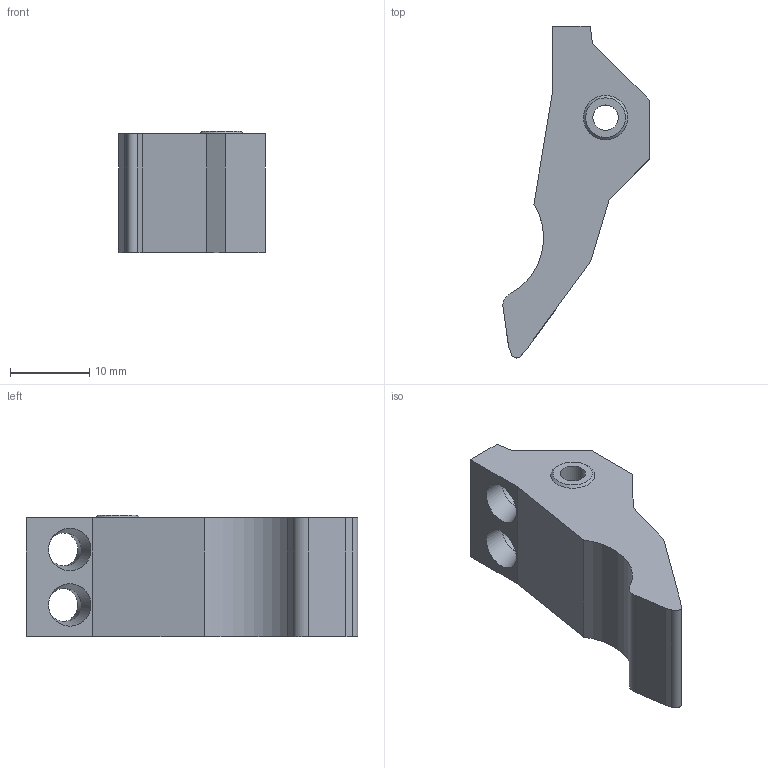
import cadquery as cq
import math


body_height = 15.0
back_x = 5.5
mount_x = -6.7
top_y = 11.56

pivot_diameter = 3.2
boss_diameter = 5.6
boss_height = 0.3

screw_heights = (4.0, 11.0)
screw_mouth_y = 6.05
screw_mouth_diameter = 5.35
screw_bore_y = 6.7
screw_bore_diameter = 4.2
screw_taper_depth = 3.0
screw_bore_length = 15.0
screw_tilt = math.radians(4.0)

step_top = (-1.94, top_y)
step_bottom = (-1.64, 9.36)

mount_bottom = (mount_x, 3.19)
back_top = (back_x, 2.22)
back_bottom = (back_x, -5.2)
neck_top = (0.46, -10.3)
neck_bottom = (-1.88, -18.15)

recess_start = (-9.03, -10.93)
recess_middle = (-7.82, -15.2)
recess_end = (-10.84, -21.42)

nose_start = (-12.0, -22.2)
nose_middle = (-12.67, -22.78)
nose_end = (-12.92, -24.1)
flank_end = (-12.25, -28.8)
tip_start = (-11.95, -29.65)
tip_middle = (-11.27, -30.3)
tip_end = (-10.57, -29.95)
tip_bevel_end = (-9.97, -29.2)


def make_lever():
    """Lever profile extruded to the body height."""
    return (
        cq.Workplane("XY")
        .moveTo(mount_x, top_y)
        .lineTo(*mount_bottom)
        .lineTo(*recess_start)
        .threePointArc(recess_middle, recess_end)
        .lineTo(*nose_start)
        .threePointArc(nose_middle, nose_end)
        .lineTo(*flank_end)
        .lineTo(*tip_start)
        .threePointArc(tip_middle, tip_end)
        .lineTo(*tip_bevel_end)
        .lineTo(*neck_bottom)
        .lineTo(*neck_top)
        .lineTo(*back_bottom)
        .lineTo(*back_top)
        .lineTo(*step_bottom)
        .lineTo(*step_top)
        .close()
        .extrude(body_height)
    )


def make_boss():
    """Low conical boss around the pivot bore."""
    base_radius = boss_diameter / 2
    return cq.Workplane(
        cq.Solid.makeCone(
            base_radius,
            base_radius - boss_height,
            boss_height,
            cq.Vector(0, 0, body_height),
            cq.Vector(0, 0, 1),
        )
    )


def make_pivot_bore():
    """Through bore for the pivot pin."""
    return cq.Workplane("XY").circle(pivot_diameter / 2).extrude(body_height + boss_height)


def make_screw_hole(height):
    """Mouth tapering sideways into a straight, slightly tilted bore."""
    taper_bottom = cq.Vector(mount_x + screw_taper_depth, screw_bore_y, height)
    mouth_plane = cq.Plane(origin=(mount_x, screw_mouth_y, height), xDir=(0, 1, 0), normal=(1, 0, 0))
    taper = (
        cq.Workplane(mouth_plane)
        .circle(screw_mouth_diameter / 2)
        .workplane(offset=screw_taper_depth)
        .center(screw_bore_y - screw_mouth_y, 0)
        .circle(screw_bore_diameter / 2)
        .loft()
    )
    bore_axis = cq.Vector(math.cos(screw_tilt), math.sin(screw_tilt), 0)
    bore_start = taper_bottom - bore_axis * (screw_taper_depth / math.cos(screw_tilt))
    bore = cq.Solid.makeCylinder(screw_bore_diameter / 2, screw_bore_length, bore_start, bore_axis)
    return taper.union(cq.Workplane(bore))


result = make_lever().union(make_boss()).cut(make_pivot_bore())
for screw_height in screw_heights:
    result = result.cut(make_screw_hole(screw_height))